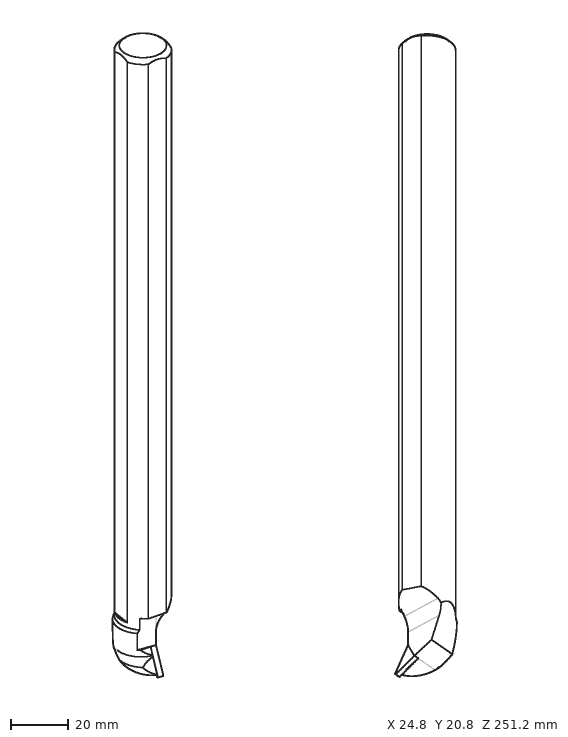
import cadquery as cq
import math

TOTAL_LENGTH = 251.2
SHANK_RADIUS = 10.0
FLAT_WIDTH = 8.3
FLAT_DISTANCE = math.sqrt(SHANK_RADIUS**2 - (FLAT_WIDTH / 2)**2)
SIDE_FLAT_DISTANCE = 9.3
TOP_CHAMFER = 1.8

SHANK_END_Z = 19.3
COLLAR_BOTTOM_Z = 17.3
NECK_TOP_Z = 16.0
NECK_RADIUS = 10.0
NECK_CENTRE = (0.0, -0.8)
FLARE_TOP_Z = 6.5
FLARE_BOTTOM_Z = 4.3
TIP_RADIUS = 10.8
TIP_CENTRE = (3.3, -0.93)

SIDE_RELIEF_TOP_Z = 20.4
HEEL = (-3.5, 6.3)
TIP = (14.8, 0.0)
NECK_FACE_X = 8.3
NECK_FACE_TOP_Z = 21.9
NECK_FACE_BOTTOM_Z = 9.3
NECK_FACE_TILT = 5.0
HOLDER_TIP = (14.0, 0.8)
RELIEF_START = (5.0, 3.5)

RAKE_ANGLE = 10.0
RAKE_OFFSET = 1.55
RUNOUT_CORNER_Z = 17.8
RUNOUT_RADIUS = 7.5

INSERT_THICKNESS = 2.3
NOSE_WIDTH = 0.38

CLEARANCE = 30.2


def extrude_across(points):
    """Extrude an XZ outline through the whole bar in Y."""
    return cq.Workplane("XZ").polyline(points).close().extrude(CLEARANCE, both=True)


def tapered(start_z, start_centre, start_radius, end_z, end_centre, end_radius):
    """Blend between two horizontal circles whose centres may differ."""
    return (
        cq.Workplane("XY", origin=(*start_centre, start_z))
        .circle(start_radius)
        .workplane(offset=end_z - start_z, origin=(*end_centre, start_z))
        .circle(end_radius)
        .loft(ruled=True)
    )


def disc(centre, radius, bottom_z, top_z):
    return cq.Workplane("XY", origin=(*centre, bottom_z)).circle(radius).extrude(top_z - bottom_z)


def make_shank():
    bar = disc((0, 0), SHANK_RADIUS, SHANK_END_Z, TOTAL_LENGTH).faces(">Z").chamfer(TOP_CHAMFER)
    flats_width = SHANK_RADIUS + SIDE_FLAT_DISTANCE
    flats = (
        cq.Workplane("XY")
        .center((SIDE_FLAT_DISTANCE - SHANK_RADIUS) / 2, 0)
        .rect(flats_width, 2 * FLAT_DISTANCE)
        .extrude(TOTAL_LENGTH)
    )
    return bar.intersect(flats)


def make_head_blank():
    collar = disc((0, 0), SHANK_RADIUS, COLLAR_BOTTOM_Z, SHANK_END_Z)
    shoulder = tapered(NECK_TOP_Z, NECK_CENTRE, NECK_RADIUS, COLLAR_BOTTOM_Z, (0, 0), SHANK_RADIUS)
    neck = disc(NECK_CENTRE, NECK_RADIUS, FLARE_BOTTOM_Z, NECK_TOP_Z)
    flare = tapered(FLARE_BOTTOM_Z, TIP_CENTRE, TIP_RADIUS, FLARE_TOP_Z, NECK_CENTRE, NECK_RADIUS)
    foot = disc(TIP_CENTRE, TIP_RADIUS, 0, FLARE_BOTTOM_Z)
    return neck.union(shoulder).union(collar).union(flare).union(foot)


def make_outline():
    """Bar outline with the slanted left side, the relieved end and the tip."""
    return extrude_across([
        (-SHANK_RADIUS, TOTAL_LENGTH),
        (-SHANK_RADIUS, SIDE_RELIEF_TOP_Z),
        HEEL,
        RELIEF_START,
        HOLDER_TIP,
        (NECK_FACE_X, NECK_FACE_BOTTOM_Z),
        (NECK_FACE_X, NECK_FACE_TOP_Z),
        (SIDE_FLAT_DISTANCE, NECK_FACE_TOP_Z),
        (SIDE_FLAT_DISTANCE, TOTAL_LENGTH),
    ])


def make_neck_face_cut():
    """Lean the face beside the tip inwards towards -Y."""
    return (
        cq.Workplane("XY")
        .box(CLEARANCE, 2 * CLEARANCE, NECK_FACE_TOP_Z - NECK_FACE_BOTTOM_Z, centered=(False, True, False))
        .rotate((0, 0, 0), (0, 0, 1), -NECK_FACE_TILT)
        .translate((NECK_FACE_X, 0, NECK_FACE_BOTTOM_Z))
    )


def make_rake_cut():
    slope_run = CLEARANCE - RAKE_OFFSET
    return (
        cq.Workplane("YZ")
        .moveTo(RAKE_OFFSET, -CLEARANCE)
        .lineTo(CLEARANCE, -CLEARANCE)
        .lineTo(CLEARANCE, RUNOUT_CORNER_Z + slope_run)
        .lineTo(RAKE_OFFSET, RUNOUT_CORNER_Z)
        .close()
        .extrude(CLEARANCE, both=True)
        .edges(cq.selectors.NearestToPointSelector((0, RAKE_OFFSET, RUNOUT_CORNER_Z)))
        .fillet(RUNOUT_RADIUS)
        .rotate((0, 0, 0), (0, 0, 1), -RAKE_ANGLE)
    )


def make_insert():
    """Pointed plate lying flush in the rake face."""
    outline = extrude_across([
        RELIEF_START,
        (TIP[0] - NOSE_WIDTH, TIP[1]),
        (TIP[0], TIP[1] + NOSE_WIDTH),
        (NECK_FACE_X, NECK_FACE_BOTTOM_Z),
    ])
    plate = (
        cq.Workplane("XY")
        .box(2 * CLEARANCE, INSERT_THICKNESS, CLEARANCE, centered=(True, False, False))
        .translate((0, RAKE_OFFSET - INSERT_THICKNESS, 0))
        .rotate((0, 0, 0), (0, 0, 1), -RAKE_ANGLE)
    )
    return outline.intersect(plate)


def make_holder(insert):
    body = make_shank().union(make_head_blank()).intersect(make_outline())
    body = body.cut(make_neck_face_cut()).cut(make_rake_cut())
    return body.cut(insert)


insert = make_insert()
holder = make_holder(insert)
result = cq.Compound.makeCompound([holder.val(), insert.val()])